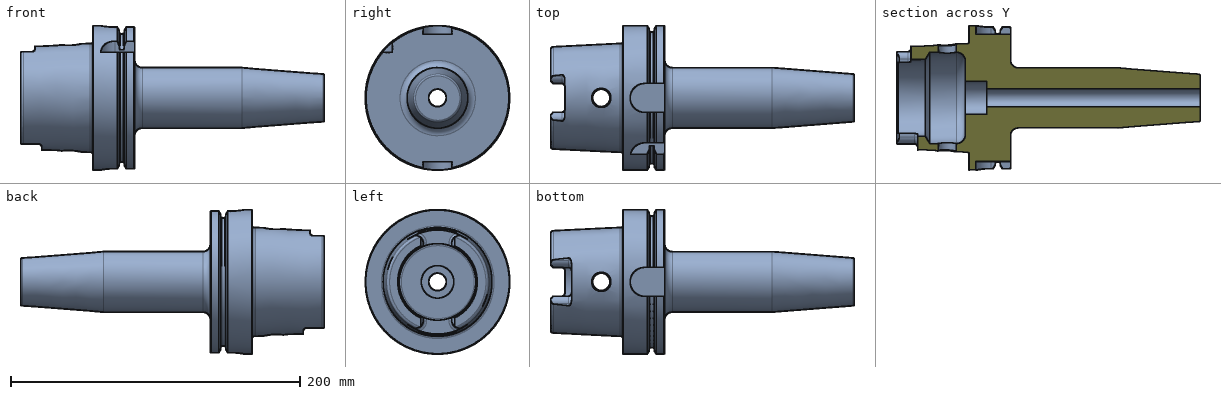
import cadquery as cq
import math

total_length = 210.0

taper_end_x = 47.7
taper_large_radius = 75.4 / 2
taper_slope = 1 / 20
mouth_rounding = 2.0
root_fillet = 1.3

flange_start_x = 50.0
flange_end_x = 79.0
flange_radius = 100.0 / 2
flange_front_chamfer = 0.32
flange_rear_chamfer = 0.6
groove_center_x = 70.0
groove_mouth_width = 6.3
groove_floor_width = 3.2
groove_floor_radius = 45.5
groove_flank_angle = 30.0
groove_corner_radius = 0.52

shaft_radius = 42.0 / 2
shaft_fillet = 5.0
nose_start_x = 152.9
nose_angle = 4.5
nose_rounding = 1.3

bore_radius = 53.0 / 2
bore_mouth_chamfer = 1.0
bore_length = 20.0
undercut_radius = 63.0 / 2
undercut_ramp = 3.2
cavity_depth = 47.5
cavity_floor_fillet = 6.3
seat_radius = 22.5 / 2
seat_depth = 14.7
through_radius = 12.0 / 2

cross_hole_diameter = 12.0
cross_hole_x = 35.0
cross_hole_chamfer = 0.6

drive_half_width = 9.9
drive_corner_radius = 10.0 / 2
drive_shoulder_z = 32.0
drive_floor_fillet = 2.0
drive_mouth_chamfer = 1.9
upper_drive_depth = 9.9
lower_drive_depth = 14.5

keyway_width = 20.0
keyway_start_x = 55.0
keyway_floor_z = 44.0
notch_wall_y = -31.0
notch_floor_z = 31.5


def revolve_about_x(profile):
    return profile.close().revolve(360, (0, 0, 0), (1, 0, 0))


def make_body():
    mouth_radius = taper_large_radius - taper_slope * taper_end_x
    nose_drop = (total_length - nose_start_x) * math.tan(math.radians(nose_angle))
    nose_radius = shaft_radius - nose_drop
    shank = revolve_about_x(
        cq.Workplane("XY")
        .lineTo(0, mouth_radius)
        .lineTo(taper_end_x, taper_large_radius)
        .lineTo(flange_start_x, taper_large_radius)
        .lineTo(flange_start_x, 0)
    )
    shank = shank.faces("<X").edges().fillet(mouth_rounding)
    head = revolve_about_x(
        cq.Workplane("XY")
        .moveTo(flange_start_x - root_fillet, 0)
        .lineTo(flange_start_x - root_fillet, taper_large_radius)
        .radiusArc((flange_start_x, taper_large_radius + root_fillet), -root_fillet)
        .lineTo(flange_start_x, flange_radius - flange_front_chamfer)
        .lineTo(flange_start_x + flange_front_chamfer, flange_radius)
        .lineTo(flange_end_x - flange_rear_chamfer, flange_radius)
        .lineTo(flange_end_x, flange_radius - flange_rear_chamfer)
        .lineTo(flange_end_x, shaft_radius + shaft_fillet)
        .radiusArc((flange_end_x + shaft_fillet, shaft_radius), -shaft_fillet)
        .lineTo(nose_start_x, shaft_radius)
        .lineTo(total_length, nose_radius)
        .lineTo(total_length, 0)
    )
    head = head.faces(">X").edges().fillet(nose_rounding)
    shank = shank.cut(make_cross_hole())
    hole_box = cq.selectors.BoxSelector(
        (cross_hole_x - cross_hole_diameter, -cross_hole_diameter, -flange_radius),
        (cross_hole_x + cross_hole_diameter, cross_hole_diameter, flange_radius),
        boundingbox=True,
    )
    shank = shank.edges(hole_box).edges("not %LINE").chamfer(cross_hole_chamfer)
    return shank.union(head)


def make_gripper_groove():
    """Groove with sloped flanks that end in short straight walls above its floor."""
    half_mouth = groove_mouth_width / 2
    half_floor = groove_floor_width / 2
    flank_depth = (half_mouth - half_floor) / math.tan(math.radians(groove_flank_angle))
    wall_top_radius = flange_radius - flank_depth
    groove = revolve_about_x(
        cq.Workplane("XY")
        .moveTo(groove_center_x - half_mouth, flange_radius)
        .lineTo(groove_center_x - half_floor, wall_top_radius)
        .lineTo(groove_center_x - half_floor, groove_floor_radius)
        .lineTo(groove_center_x + half_floor, groove_floor_radius)
        .lineTo(groove_center_x + half_floor, wall_top_radius)
        .lineTo(groove_center_x + half_mouth, flange_radius)
    )
    floor_edges = groove.edges(cq.selectors.RadiusNthSelector(0))
    return floor_edges.fillet(groove_corner_radius)


def make_cavity():
    floor_edge_radius = undercut_radius - cavity_floor_fillet
    return revolve_about_x(
        cq.Workplane("XY")
        .lineTo(0, bore_radius + bore_mouth_chamfer)
        .lineTo(bore_mouth_chamfer, bore_radius)
        .lineTo(bore_length, bore_radius)
        .lineTo(bore_length + undercut_ramp, undercut_radius)
        .lineTo(cavity_depth - cavity_floor_fillet, undercut_radius)
        .radiusArc((cavity_depth, floor_edge_radius), cavity_floor_fillet)
        .lineTo(cavity_depth, seat_radius)
        .lineTo(cavity_depth + seat_depth, seat_radius)
        .lineTo(cavity_depth + seat_depth, through_radius)
        .lineTo(total_length, through_radius)
        .lineTo(total_length, 0)
    )


def make_cross_hole():
    return (
        cq.Workplane("XY")
        .center(cross_hole_x, 0)
        .circle(cross_hole_diameter / 2)
        .extrude(flange_radius, both=True)
    )


def make_drive_slot(depth):
    """Slot on the +Z side of the mouth, widening over rounded shoulders."""
    shoulder_y = drive_half_width + drive_corner_radius
    arc_start_z = drive_shoulder_z - drive_corner_radius
    outer_y = 2 * drive_half_width
    slot = (
        cq.Workplane("YZ")
        .moveTo(-drive_half_width, 0)
        .lineTo(-drive_half_width, arc_start_z)
        .radiusArc((-shoulder_y, drive_shoulder_z), -drive_corner_radius)
        .lineTo(-outer_y, drive_shoulder_z)
        .lineTo(-outer_y, flange_radius)
        .lineTo(outer_y, flange_radius)
        .lineTo(outer_y, drive_shoulder_z)
        .lineTo(shoulder_y, drive_shoulder_z)
        .radiusArc((drive_half_width, arc_start_z), -drive_corner_radius)
        .lineTo(drive_half_width, 0)
        .close()
        .extrude(depth)
    )
    slot = slot.faces(">X").edges().fillet(drive_floor_fillet)
    mouth_half_width = drive_half_width + drive_mouth_chamfer
    lead_in = (
        cq.Workplane("XY")
        .moveTo(0, -mouth_half_width)
        .lineTo(drive_mouth_chamfer, -drive_half_width)
        .lineTo(drive_mouth_chamfer, drive_half_width)
        .lineTo(0, mouth_half_width)
        .close()
        .extrude(flange_radius)
    )
    return slot.union(lead_in)


def make_keyway_cutter(center_y, floor_z):
    """Round-ended cutter sweep along X, open at the rear face of the flange."""
    half_width = keyway_width / 2
    arc_center_x = keyway_start_x + half_width
    return (
        cq.Workplane("XY", origin=(0, center_y, floor_z))
        .moveTo(flange_end_x, half_width)
        .lineTo(arc_center_x, half_width)
        .threePointArc((keyway_start_x, 0), (arc_center_x, -half_width))
        .lineTo(flange_end_x, -half_width)
        .close()
        .extrude(flange_radius - floor_z)
    )


def turn_half(shape):
    return shape.rotate((0, 0, 0), (1, 0, 0), 180)


keyway = make_keyway_cutter(0, keyway_floor_z)
notch = make_keyway_cutter(notch_wall_y - keyway_width / 2, notch_floor_z)

result = (
    make_body()
    .cut(make_cavity())
    .cut(make_gripper_groove())
    .cut(make_drive_slot(upper_drive_depth))
    .cut(turn_half(make_drive_slot(lower_drive_depth)))
    .cut(keyway)
    .cut(turn_half(keyway))
    .cut(notch)
)